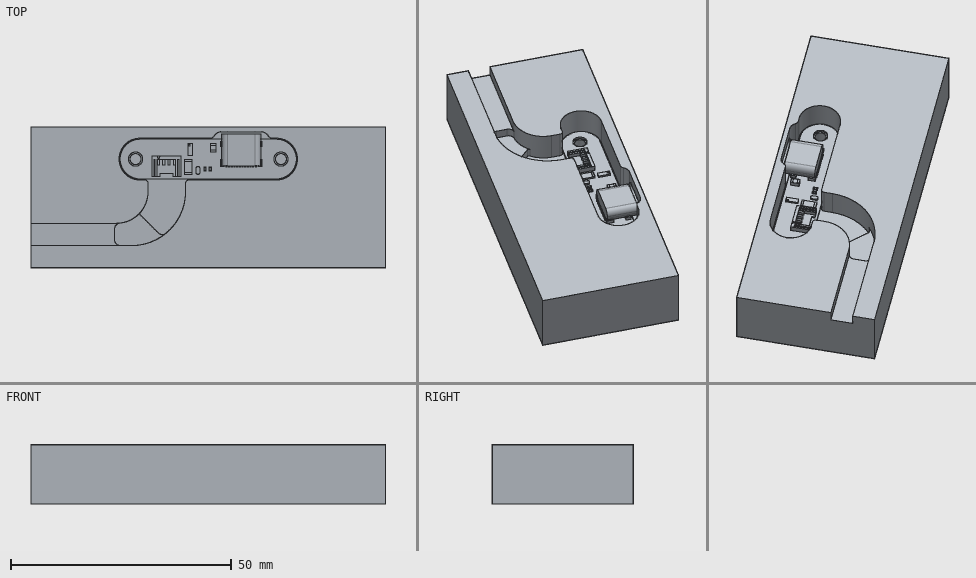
import cadquery as cq
import math

BLOCK_X = 80.5
BLOCK_Y = 32.0
BLOCK_Z = 13.5

BOARD_LENGTH = 40.0
BOARD_WIDTH = 9.0
BOARD_THICKNESS = 0.5
BOARD_Y = 8.7
BOARD_CLEARANCE = 0.25
POCKET_DEPTH = 6.5
SCREW_SPACING = 33.0
BOARD_HOLE_DIAMETER = 3.2
SCREW_HOLE_DIAMETER = 2.5
SCREW_HOLE_DEPTH = 4.0

BULGE_BASE_WIDTH = 14.0
BULGE_HEIGHT = 1.45
BULGE_INNER_RADIUS = 2.0
BULGE_OUTER_RADIUS = 1.0

CHANNEL_LOWER_Y = -10.95
CHANNEL_UPPER_Y = -5.9
CHANNEL_LEFT_X = -13.7
CHANNEL_RIGHT_X = -5.15
INNER_BEND_RADIUS = 7.1
OUTER_BEND_RADIUS = 12.2
SHALLOW_DEPTH = 2.5
MIDDLE_DEPTH = 4.5
MIDDLE_START_X = -21.25
DEEP_START = (-13.2, -6.2)
FLOOR_CORNER_RADIUS = 1.3
DEEP_INNER_CORNER_RADIUS = 0.4
MOUTH_RADIUS = 0.7

USB_X = 7.5
USB_WIDTH = 8.9
USB_HEIGHT = 3.2
USB_CORNER_RADIUS = 1.4
USB_REAR_Y = 7.2
USB_FRONT_Y = 14.4
USB_CLEARANCE = 0.25
USB_LEG_OUT = 0.25
USB_LEG_HEIGHT = 0.8
USB_LEG_THICKNESS = 0.8
USB_LEGS_Y = ((7.0, 8.6), (11.5, 12.7))
USB_PIN_COUNT = 12
USB_PIN_PITCH = 0.6
USB_PIN_WIDTH = 0.25
USB_PIN_LENGTH = 0.3
USB_PIN_HEIGHT = 0.25

CONNECTOR_X = -9.5
CONNECTOR_WIDTH = 6.6
CONNECTOR_FRONT_Y = 4.75
CONNECTOR_REAR_Y = 9.3
CONNECTOR_HEIGHT = 1.2
CONNECTOR_BACK_WALL = 0.7
CONNECTOR_SIDE_WALL = 1.2
CONNECTOR_FLOOR = 0.3
NAIL_SLOT_WIDTH = 0.3
NAIL_SLOT_DEPTH = 0.6
FRONT_NOTCH_WIDTH = 3.0
FRONT_NOTCH_LENGTH = 0.7
PIN_ONE_MARK_X = -11.3
PIN_ONE_MARK_WIDTH = 0.65
PIN_ONE_MARK_DEPTH = 0.2
CONTACT_COUNT = 4
CONTACT_PITCH = 1.2
CONTACT_WIDTH = 0.5
CONTACT_LENGTH = 1.3
CONTACT_HEIGHT = 0.65

DRIVER_CENTRE = (-4.1, 10.9)
DRIVER_SIZE = (1.05, 2.8, 0.4)
DRIVER_MARK_CENTRE = (-4.35, 11.8)
DRIVER_MARK_DIAMETER = 0.4
DRIVER_MARK_DEPTH = 0.1
DIODE_CENTRE = (-4.5, 6.9)
DIODE_SIZE = (1.7, 3.5, 0.5)
DIODE_CAP_LENGTH = 0.5
CAPACITOR_CENTRE = (1.1, 11.3)
CAPACITOR_SIZE = (1.2, 2.0, 1.05)
CAPACITOR_CAP_LENGTH = 0.5
RESISTOR_CENTRES = [(-0.7, 6.4), (0.5, 6.4)]
RESISTOR_SIZE = (0.52, 1.0, 0.4)
RESISTOR_CAP_LENGTH = 0.25
CAP_STEP = 0.1
LAMP_CENTRE = (-2.3, 6.1)
LAMP_LENGTH = 1.8
LAMP_WIDTH = 0.9
LAMP_HEIGHT = 0.4

POCKET_FLOOR_Z = BLOCK_Z - POCKET_DEPTH
BOARD_TOP_Z = POCKET_FLOOR_Z + BOARD_THICKNESS
POCKET_LENGTH = BOARD_LENGTH + 2 * BOARD_CLEARANCE
POCKET_WIDTH = BOARD_WIDTH + 2 * BOARD_CLEARANCE
POCKET_TOP_Y = BOARD_Y + POCKET_WIDTH / 2
POCKET_BOTTOM_Y = BOARD_Y - POCKET_WIDTH / 2
SCREW_POINTS = [(-SCREW_SPACING / 2, BOARD_Y), (SCREW_SPACING / 2, BOARD_Y)]
USB_CENTRE_Z = BOARD_TOP_Z + USB_HEIGHT / 2


def box(x_range, y_range, z_range):
    """Axis-aligned box between pairs of limits."""
    size = [limits[1] - limits[0] for limits in (x_range, y_range, z_range)]
    corner = (x_range[0], y_range[0], z_range[0])
    return cq.Workplane("XY").box(*size, centered=False).translate(corner)


def solid_between(outline, z_range):
    """Prism of a closed XY outline between two heights."""
    return outline.extrude(z_range[1] - z_range[0]).translate((0, 0, z_range[0]))


def board_bulge():
    """Pocket bulge around the USB socket, each end an S-curve of two tangent arcs."""
    radius_sum = BULGE_INNER_RADIUS + BULGE_OUTER_RADIUS
    turn = math.acos(1 - BULGE_HEIGHT / radius_sum)
    half_base = BULGE_BASE_WIDTH / 2
    half_joint = half_base - BULGE_OUTER_RADIUS * math.sin(turn)
    half_crown = half_base - radius_sum * math.sin(turn)
    joint_y = POCKET_TOP_Y + BULGE_OUTER_RADIUS * (1 - math.cos(turn))
    crown_y = POCKET_TOP_Y + BULGE_HEIGHT
    outline = (
        cq.Workplane("XY")
        .moveTo(USB_X - half_base, POCKET_TOP_Y)
        .radiusArc((USB_X - half_joint, joint_y), -BULGE_OUTER_RADIUS)
        .radiusArc((USB_X - half_crown, crown_y), BULGE_INNER_RADIUS)
        .lineTo(USB_X + half_crown, crown_y)
        .radiusArc((USB_X + half_joint, joint_y), BULGE_INNER_RADIUS)
        .radiusArc((USB_X + half_base, POCKET_TOP_Y), -BULGE_OUTER_RADIUS)
        .close()
    )
    return solid_between(outline, (POCKET_FLOOR_Z, BLOCK_Z))


def board_pocket():
    """Round-ended pocket for the board, with its bulge."""
    outline = cq.Workplane("XY").center(0, BOARD_Y).slot2D(POCKET_LENGTH, POCKET_WIDTH)
    return solid_between(outline, (POCKET_FLOOR_Z, BLOCK_Z)).union(board_bulge())


def channel(depth):
    """Cable channel cut to one depth, from the -X side round the bend to the pocket."""
    inner_start_x = CHANNEL_LEFT_X - INNER_BEND_RADIUS
    outer_end_x = CHANNEL_RIGHT_X - OUTER_BEND_RADIUS
    outline = (
        cq.Workplane("XY")
        .moveTo(-BLOCK_X / 2, CHANNEL_UPPER_Y)
        .lineTo(inner_start_x, CHANNEL_UPPER_Y)
        .radiusArc((CHANNEL_LEFT_X, CHANNEL_UPPER_Y + INNER_BEND_RADIUS), -INNER_BEND_RADIUS)
        .lineTo(CHANNEL_LEFT_X, BOARD_Y)
        .lineTo(CHANNEL_RIGHT_X, BOARD_Y)
        .lineTo(CHANNEL_RIGHT_X, CHANNEL_LOWER_Y + OUTER_BEND_RADIUS)
        .radiusArc((outer_end_x, CHANNEL_LOWER_Y), OUTER_BEND_RADIUS)
        .lineTo(-BLOCK_X / 2, CHANNEL_LOWER_Y)
        .close()
    )
    return solid_between(outline, (BLOCK_Z - depth, BLOCK_Z))


def middle_channel():
    """Middle floor level, starting at a straight end with rounded corners."""
    reach = box((MIDDLE_START_X, BLOCK_X / 2), (-BLOCK_Y / 2, BLOCK_Y / 2), (0, BLOCK_Z))
    return channel(MIDDLE_DEPTH).intersect(reach).edges("|Z and <X").fillet(FLOOR_CORNER_RADIUS)


def deep_channel():
    """Deepest floor level, starting at a 45 degree end across the bend."""
    reach = (
        box((-BLOCK_X, BLOCK_X), (0, BLOCK_X), (0, BLOCK_Z))
        .rotate((0, 0, 0), (0, 0, 1), -45)
        .translate((*DEEP_START, 0))
    )
    level = channel(POCKET_DEPTH).intersect(reach)
    level = level.edges("|Z and <Y").fillet(FLOOR_CORNER_RADIUS)
    return level.edges("|Z and <X").fillet(DEEP_INNER_CORNER_RADIUS)


def usb_section(margin, rear_y, front_y):
    """Round-sided USB outline, grown by a margin, between two Y limits."""
    half_width = USB_WIDTH / 2 + margin
    half_height = USB_HEIGHT / 2 + margin
    section = box(
        (USB_X - half_width, USB_X + half_width),
        (rear_y, front_y),
        (USB_CENTRE_Z - half_height, USB_CENTRE_Z + half_height),
    )
    return section.edges("|Y").fillet(USB_CORNER_RADIUS + margin)


def mouth_edges():
    """Selector boxes of the two edges where the channel opens into the pocket."""
    reach = 0.1
    return [
        cq.selectors.BoxSelector(
            (x - reach, POCKET_BOTTOM_Y - reach, 0),
            (x + reach, POCKET_BOTTOM_Y + reach, BLOCK_Z),
        )
        for x in (CHANNEL_LEFT_X, CHANNEL_RIGHT_X)
    ]


def make_housing():
    """Block with the board pocket, cable channel, USB opening and screw holes."""
    block = box((-BLOCK_X / 2, BLOCK_X / 2), (-BLOCK_Y / 2, BLOCK_Y / 2), (0, BLOCK_Z))
    block = block.cut(board_pocket()).cut(deep_channel())
    for mouth_edge in mouth_edges():
        block = block.edges("|Z").edges(mouth_edge).fillet(MOUTH_RADIUS)
    block = block.cut(middle_channel()).cut(channel(SHALLOW_DEPTH))
    block = block.cut(usb_section(USB_CLEARANCE, USB_FRONT_Y, BLOCK_Y / 2))
    screw_holes = cq.Workplane("XY").pushPoints(SCREW_POINTS).circle(SCREW_HOLE_DIAMETER / 2)
    return block.cut(
        solid_between(screw_holes, (POCKET_FLOOR_Z - SCREW_HOLE_DEPTH, POCKET_FLOOR_Z))
    )


def make_board():
    """Round-ended circuit board with two screw clearance holes."""
    outline = cq.Workplane("XY").center(0, BOARD_Y).slot2D(BOARD_LENGTH, BOARD_WIDTH)
    board = solid_between(outline, (POCKET_FLOOR_Z, BOARD_TOP_Z))
    holes = cq.Workplane("XY").pushPoints(SCREW_POINTS).circle(BOARD_HOLE_DIAMETER / 2)
    return board.cut(holes.extrude(BLOCK_Z))


def make_usb_socket():
    """Round-sided shell with side legs and a row of rear pins."""
    socket = usb_section(0, USB_REAR_Y, USB_FRONT_Y)
    leg_top_z = BOARD_TOP_Z + USB_LEG_HEIGHT
    half_leg_span = USB_WIDTH / 2 + USB_LEG_OUT
    for y_range in USB_LEGS_Y:
        for side in (-1, 1):
            leg_x = sorted(
                (USB_X + side * half_leg_span, USB_X + side * (half_leg_span - USB_LEG_THICKNESS))
            )
            socket = socket.union(box(leg_x, y_range, (BOARD_TOP_Z, leg_top_z)))
    for index in range(USB_PIN_COUNT):
        pin_x = USB_X + (index - (USB_PIN_COUNT - 1) / 2) * USB_PIN_PITCH
        pin = box(
            (pin_x - USB_PIN_WIDTH / 2, pin_x + USB_PIN_WIDTH / 2),
            (USB_REAR_Y - USB_PIN_LENGTH, USB_REAR_Y + USB_PIN_LENGTH),
            (BOARD_TOP_Z, BOARD_TOP_Z + USB_PIN_HEIGHT),
        )
        socket = socket.union(pin)
    return socket


def make_cable_connector():
    """Low tray open to the front and the top, with contacts along its back wall."""
    left_x = CONNECTOR_X - CONNECTOR_WIDTH / 2
    right_x = CONNECTOR_X + CONNECTOR_WIDTH / 2
    top_z = BOARD_TOP_Z + CONNECTOR_HEIGHT
    floor_z = BOARD_TOP_Z + CONNECTOR_FLOOR
    back_wall_y = CONNECTOR_REAR_Y - CONNECTOR_BACK_WALL
    connector = box(
        (left_x, right_x), (CONNECTOR_FRONT_Y, CONNECTOR_REAR_Y), (BOARD_TOP_Z, top_z)
    )
    cavity_x = (left_x + CONNECTOR_SIDE_WALL, right_x - CONNECTOR_SIDE_WALL)
    connector = connector.cut(box(cavity_x, (CONNECTOR_FRONT_Y, back_wall_y), (floor_z, top_z)))
    front_notch_x = (CONNECTOR_X - FRONT_NOTCH_WIDTH / 2, CONNECTOR_X + FRONT_NOTCH_WIDTH / 2)
    front_notch_y = (CONNECTOR_FRONT_Y, CONNECTOR_FRONT_Y + FRONT_NOTCH_LENGTH)
    connector = connector.cut(box(front_notch_x, front_notch_y, (BOARD_TOP_Z, floor_z)))
    pin_one_mark = (
        cq.Workplane("XY")
        .moveTo(PIN_ONE_MARK_X, back_wall_y)
        .lineTo(PIN_ONE_MARK_X + PIN_ONE_MARK_WIDTH / 2, CONNECTOR_REAR_Y)
        .lineTo(PIN_ONE_MARK_X - PIN_ONE_MARK_WIDTH / 2, CONNECTOR_REAR_Y)
        .close()
    )
    connector = connector.cut(solid_between(pin_one_mark, (top_z - PIN_ONE_MARK_DEPTH, top_z)))
    for wall_x in (left_x + CONNECTOR_SIDE_WALL / 2, right_x - CONNECTOR_SIDE_WALL / 2):
        slot_x = (wall_x - NAIL_SLOT_WIDTH / 2, wall_x + NAIL_SLOT_WIDTH / 2)
        slot_z = (top_z - NAIL_SLOT_DEPTH, top_z)
        connector = connector.cut(box(slot_x, (CONNECTOR_FRONT_Y, back_wall_y), slot_z))
    for index in range(CONTACT_COUNT):
        contact_x = CONNECTOR_X + (index - (CONTACT_COUNT - 1) / 2) * CONTACT_PITCH
        contact = box(
            (contact_x - CONTACT_WIDTH / 2, contact_x + CONTACT_WIDTH / 2),
            (back_wall_y - CONTACT_LENGTH, back_wall_y),
            (floor_z, floor_z + CONTACT_HEIGHT),
        )
        connector = connector.union(contact)
    return connector


def make_driver():
    """Rectangular chip with a round corner mark in its top."""
    chip = cq.Workplane("XY").box(*DRIVER_SIZE, centered=(True, True, False))
    chip = chip.translate((*DRIVER_CENTRE, BOARD_TOP_Z))
    top_z = BOARD_TOP_Z + DRIVER_SIZE[2]
    mark = cq.Workplane("XY").center(*DRIVER_MARK_CENTRE).circle(DRIVER_MARK_DIAMETER / 2)
    return chip.cut(solid_between(mark, (top_z - DRIVER_MARK_DEPTH, top_z)))


def make_capped_chip(centre, size, cap_length):
    """Component whose two end caps stand slightly above its middle."""
    width, length, height = size
    chip = cq.Workplane("XY").box(width, length, height, centered=(True, True, False))
    relief = cq.Workplane("XY").box(
        width, length - 2 * cap_length, CAP_STEP, centered=(True, True, False)
    )
    chip = chip.cut(relief.translate((0, 0, height - CAP_STEP)))
    return chip.translate((*centre, BOARD_TOP_Z))


def make_lamp():
    """Small round-ended lamp on the board."""
    outline = cq.Workplane("XY").center(*LAMP_CENTRE).slot2D(LAMP_LENGTH, LAMP_WIDTH, 90)
    return solid_between(outline, (BOARD_TOP_Z, BOARD_TOP_Z + LAMP_HEIGHT))


housing = make_housing()
board = make_board()
usb_socket = make_usb_socket()
cable_connector = make_cable_connector()
driver = make_driver()
diode = make_capped_chip(DIODE_CENTRE, DIODE_SIZE, DIODE_CAP_LENGTH)
capacitor = make_capped_chip(CAPACITOR_CENTRE, CAPACITOR_SIZE, CAPACITOR_CAP_LENGTH)
lamp = make_lamp()
resistors = [make_capped_chip(centre, RESISTOR_SIZE, RESISTOR_CAP_LENGTH) for centre in RESISTOR_CENTRES]

result = cq.Compound.makeCompound(
    [
        housing.val(),
        board.val(),
        usb_socket.val(),
        cable_connector.val(),
        driver.val(),
        diode.val(),
        capacitor.val(),
        lamp.val(),
        *[resistor.val() for resistor in resistors],
    ]
)